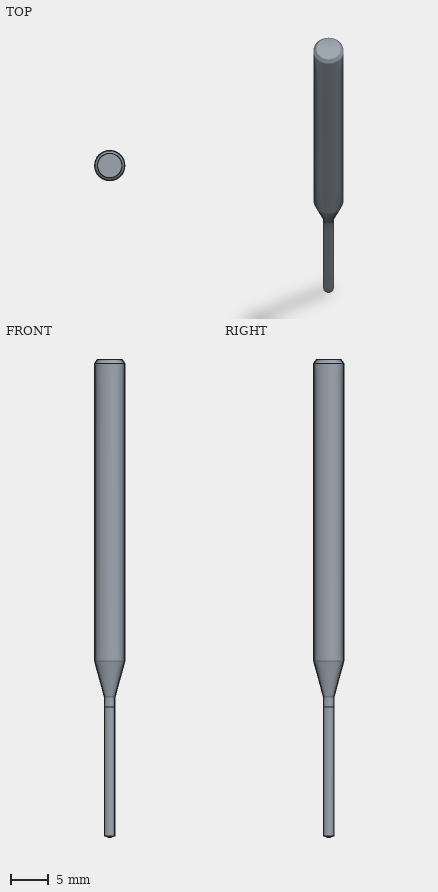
import cadquery as cq
import math

total_length = 63.0
shank_diameter = 4.0
cut_diameter = 1.4

cut_top = 17.2
neck_top = 18.5
shoulder_height = 23.25

point_angle = 140.0
chamfer_height = 0.5
chamfer_width = 0.4

shank_radius = shank_diameter / 2
cut_radius = cut_diameter / 2
point_height = cut_radius / math.tan(math.radians(point_angle / 2))


def turned(profile):
    """Revolve a closed (radius, height) profile about the Z axis."""
    return cq.Workplane("XZ").polyline(profile).close().revolve(360, (0, 0, 0), (0, 1, 0))


def make_cutting_part():
    """Slim cylinder ending in a conical drill point."""
    return turned([
        (0, 0),
        (cut_radius, point_height),
        (cut_radius, cut_top),
        (0, cut_top),
    ])


def make_shank():
    """Straight neck, tapered shoulder and cylindrical shank with a chamfered end."""
    return turned([
        (0, cut_top),
        (cut_radius, cut_top),
        (cut_radius, neck_top),
        (shank_radius, shoulder_height),
        (shank_radius, total_length - chamfer_height),
        (shank_radius - chamfer_width, total_length),
        (0, total_length),
    ])


cutting_part = make_cutting_part()
shank = make_shank()

result = cq.Compound.makeCompound([cutting_part.val(), shank.val()])